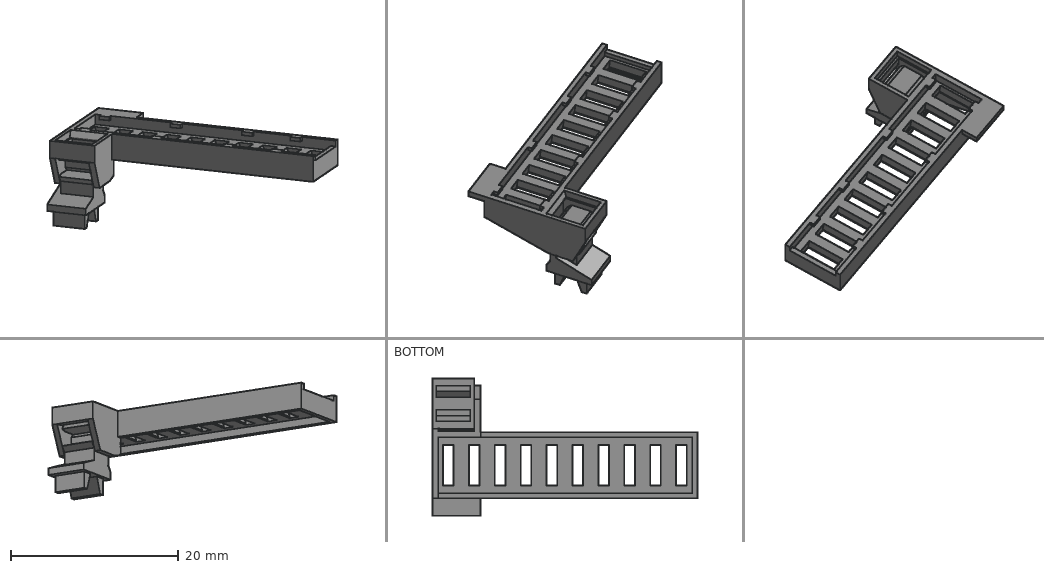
import cadquery as cq
import math


ARM_LENGTH = 31.7
ARM_FRONT = 5.58
ARM_BACK = 13.5
ARM_HEIGHT = 3.2
WALL = 0.63
LEFT_WALL = 0.7
TRAY_DEPTH = 1.27
TRAY_FLOOR = 1.0
END_LIP_DROP = 0.7

HEAD_WIDTH = 5.77
HEAD_BOTTOM = -5.67
HEAD_BOTTOM_FRONT = 1.65
HEAD_BOTTOM_BACK = 4.88
FRONT_WALL_HEIGHT = 2.12
FLANGE_BACK = 15.6
FLANGE_THICKNESS = 0.75

SLOT_COUNT = 10
SLOT_ROW_LENGTH = 27.85
FIRST_SLOT_X = 1.9
SLOT_TOP_WIDTH = 1.8
SLOT_BOTTOM_WIDTH = 1.25
SLOT_TAPER_DEPTH = 0.85
SLOT_LENGTH = 4.8

TAB_STARTS = (1.35, 10.52, 19.78, 26.0)
TAB_WIDTH = 1.33
TAB_REACH = 0.5
TAB_THICKNESS = 0.45

MOUTH_LEFT = 0.5
MOUTH_RIGHT = 5.25
MOUTH_FRONT = 0.55
MOUTH_BACK = 5.42
MOUTH_DEPTH = 0.92
MOUTH_BACK_TAPER = 0.25
MOUTH_TAPER_DEPTH = 0.8
BACK_LIP_HEIGHT = 0.1
CAVITY_RIGHT = 5.0
CAVITY_FRONT = 0.85
CAVITY_BACK = 5.45

AXIS_Y = 3.0
AXIS_Z = -3.58
DRUM_RADIUS = 2.28
DRUM_FLAT_HALF = 1.27
DRUM_LEFT = 0.8
FOOT_RIGHT = CAVITY_RIGHT

NOTCH_HALF_HEIGHT = 0.85
NOTCH_MOUTH_HALF = 1.05
NOTCH_FLARE_LENGTH = 0.7
NOTCH_CHAMFER = 0.45

POST_FRONT = 1.52
POST_BACK = 4.7
BASE_FRONT = -0.85
BASE_BACK = 5.17
BASE_BOTTOM = -8.5
BASE_FRONT_TOP = -7.67
BASE_BACK_TOP = -7.58
POST_FLARE_Z = -6.85
STEP_FRONT = 3.93
STEP_FOOT_Z = -6.0

PRONG_LEFT = 0.45
PRONG_WIDTH = 4.05
PRONG_BOTTOM = -10.5
PRONG_OUTER = 2.12
PRONG_INNER_TOP = 0.73
PRONG_INNER_BOTTOM = 1.45

arm_middle = (ARM_FRONT + ARM_BACK) / 2
inner_front = ARM_FRONT + WALL
inner_back = ARM_BACK - WALL
inner_end = ARM_LENGTH - WALL
slot_pitch = SLOT_ROW_LENGTH / (SLOT_COUNT - 1)
tray_bottom = -TRAY_DEPTH - TRAY_FLOOR


def box(x0, x1, y0, y1, z0, z1):
    """Block between two opposite corners."""
    return cq.Workplane("XY").box(x1 - x0, y1 - y0, z1 - z0, centered=False).translate((x0, y0, z0))


def side_profile(points, x0, x1):
    """Closed outline of (Y, Z) points, extruded along X."""
    return cq.Workplane("YZ", origin=(x0, 0, 0)).polyline(points).close().extrude(x1 - x0)


def make_head():
    """Socket block at the front and a thin side plate behind it, with one side outline."""
    outline = [
        (0, 0),
        (ARM_BACK, 0),
        (ARM_BACK, -ARM_HEIGHT),
        (HEAD_BOTTOM_BACK, HEAD_BOTTOM),
        (HEAD_BOTTOM_FRONT, HEAD_BOTTOM),
        (0, -FRONT_WALL_HEIGHT),
    ]
    side_plate = side_profile(outline, 0, LEFT_WALL)
    socket = side_profile(outline, 0, HEAD_WIDTH).intersect(
        box(0, HEAD_WIDTH, 0, inner_front, HEAD_BOTTOM, 0)
    )
    return socket.union(side_plate)


def make_arm():
    """Long channel, open above and below its floor, with a rear flange."""
    arm = box(0, ARM_LENGTH, ARM_FRONT, ARM_BACK, -ARM_HEIGHT, 0)
    arm = arm.cut(box(LEFT_WALL, inner_end, inner_front, inner_back, -TRAY_DEPTH, 0))
    arm = arm.cut(box(inner_end, ARM_LENGTH, inner_front, inner_back, -END_LIP_DROP, 0))
    arm = arm.cut(box(LEFT_WALL, inner_end, inner_front, inner_back, -ARM_HEIGHT, tray_bottom))
    flange = box(0, HEAD_WIDTH, ARM_BACK, FLANGE_BACK, -FLANGE_THICKNESS, 0)
    return arm.union(flange)


def make_tab_pair(x):
    """Two facing tabs at the top of the long arm walls, starting at x."""
    front_tab = box(x, x + TAB_WIDTH, inner_front, inner_front + TAB_REACH, -TAB_THICKNESS, 0)
    back_tab = box(x, x + TAB_WIDTH, inner_back - TAB_REACH, inner_back, -TAB_THICKNESS, 0)
    return front_tab, back_tab


def make_slot(x):
    """Slot through the arm floor, tapered above and straight below, centred on x."""
    half_top = SLOT_TOP_WIDTH / 2
    half_bottom = SLOT_BOTTOM_WIDTH / 2
    taper_bottom = -TRAY_DEPTH - SLOT_TAPER_DEPTH
    return (
        cq.Workplane("XZ", origin=(x, arm_middle + SLOT_LENGTH / 2, 0))
        .moveTo(-half_top, -TRAY_DEPTH)
        .lineTo(half_top, -TRAY_DEPTH)
        .lineTo(half_bottom, taper_bottom)
        .lineTo(half_bottom, tray_bottom)
        .lineTo(-half_bottom, tray_bottom)
        .lineTo(-half_bottom, taper_bottom)
        .close()
        .extrude(SLOT_LENGTH)
    )


def make_socket_cavity():
    """Mouth with a tapered back, above a narrower cavity that is open at the bottom."""
    lip_y = MOUTH_BACK - MOUTH_BACK_TAPER
    mouth = side_profile(
        [
            (MOUTH_FRONT, 0),
            (MOUTH_BACK, 0),
            (lip_y, -MOUTH_TAPER_DEPTH),
            (lip_y, -MOUTH_DEPTH),
            (MOUTH_FRONT, -MOUTH_DEPTH),
        ],
        MOUTH_LEFT,
        MOUTH_RIGHT,
    )
    lip_bottom = -MOUTH_DEPTH - BACK_LIP_HEIGHT
    throat = box(LEFT_WALL, CAVITY_RIGHT, CAVITY_FRONT, lip_y, lip_bottom, -MOUTH_DEPTH)
    cavity = box(LEFT_WALL, CAVITY_RIGHT, CAVITY_FRONT, CAVITY_BACK, HEAD_BOTTOM, lip_bottom)
    open_front = box(LEFT_WALL, CAVITY_RIGHT, 0, CAVITY_FRONT, HEAD_BOTTOM, -FRONT_WALL_HEIGHT)
    return mouth.union(throat).union(cavity).union(open_front)


def make_housing():
    """Head, arm and tabs in one body, with the slots and the socket cut out."""
    housing = make_head().union(make_arm())
    for x in TAB_STARTS:
        for tab in make_tab_pair(x):
            housing = housing.union(tab)
    for i in range(SLOT_COUNT):
        housing = housing.cut(make_slot(FIRST_SLOT_X + i * slot_pitch))
    return housing.cut(make_socket_cavity())


def make_drum():
    """Round drum with a flat top and a flared notch that runs from its front to its axis."""
    width = FOOT_RIGHT - DRUM_LEFT
    drum = cq.Workplane("YZ", origin=(DRUM_LEFT, AXIS_Y, AXIS_Z)).circle(DRUM_RADIUS).extrude(width)
    flat_height = math.sqrt(DRUM_RADIUS**2 - DRUM_FLAT_HALF**2)
    front = AXIS_Y - DRUM_RADIUS
    back = AXIS_Y + DRUM_RADIUS
    drum = drum.cut(box(DRUM_LEFT, FOOT_RIGHT, front, back, AXIS_Z + flat_height, AXIS_Z + DRUM_RADIUS))

    mouth_y = AXIS_Y - math.sqrt(DRUM_RADIUS**2 - NOTCH_MOUTH_HALF**2)
    flare_y = mouth_y + NOTCH_FLARE_LENGTH
    face_half = NOTCH_HALF_HEIGHT - NOTCH_CHAMFER
    lower_half = [
        (front, -NOTCH_MOUTH_HALF),
        (mouth_y, -NOTCH_MOUTH_HALF),
        (flare_y, -NOTCH_HALF_HEIGHT),
        (AXIS_Y + NOTCH_CHAMFER, -NOTCH_HALF_HEIGHT),
        (AXIS_Y, -face_half),
    ]
    upper_half = [(y, -z) for y, z in reversed(lower_half)]
    outline = [(y, AXIS_Z + z) for y, z in lower_half + upper_half]
    return drum.cut(side_profile(outline, DRUM_LEFT, FOOT_RIGHT))


def make_base():
    """Wedge base whose raised back step meets the underside of the housing."""
    return side_profile(
        [
            (BASE_FRONT, BASE_BOTTOM),
            (BASE_BACK, BASE_BOTTOM),
            (BASE_BACK, BASE_BACK_TOP),
            (POST_BACK, POST_FLARE_Z),
            (POST_BACK, HEAD_BOTTOM),
            (STEP_FRONT, HEAD_BOTTOM),
            (STEP_FRONT, STEP_FOOT_Z),
            (BASE_FRONT, BASE_FRONT_TOP),
        ],
        0,
        FOOT_RIGHT,
    )


def make_prong(direction):
    """Prong below the base, straight outside and sloped inside, towards +Y or -Y."""
    middle = (BASE_FRONT + BASE_BACK) / 2
    return side_profile(
        [
            (middle + direction * PRONG_OUTER, BASE_BOTTOM),
            (middle + direction * PRONG_OUTER, PRONG_BOTTOM),
            (middle + direction * PRONG_INNER_BOTTOM, PRONG_BOTTOM),
            (middle + direction * PRONG_INNER_TOP, BASE_BOTTOM),
        ],
        PRONG_LEFT,
        PRONG_LEFT + PRONG_WIDTH,
    )


def make_foot():
    """Drum, post, base and prongs in one body."""
    post_top = AXIS_Z - NOTCH_MOUTH_HALF
    post = box(DRUM_LEFT, FOOT_RIGHT, POST_FRONT, POST_BACK, BASE_FRONT_TOP, post_top)
    foot = make_drum().union(post).union(make_base())
    for direction in (-1, 1):
        foot = foot.union(make_prong(direction))
    return foot


housing = make_housing()
foot = make_foot()
result = cq.Compound.makeCompound([housing.solids().val(), foot.solids().val()])